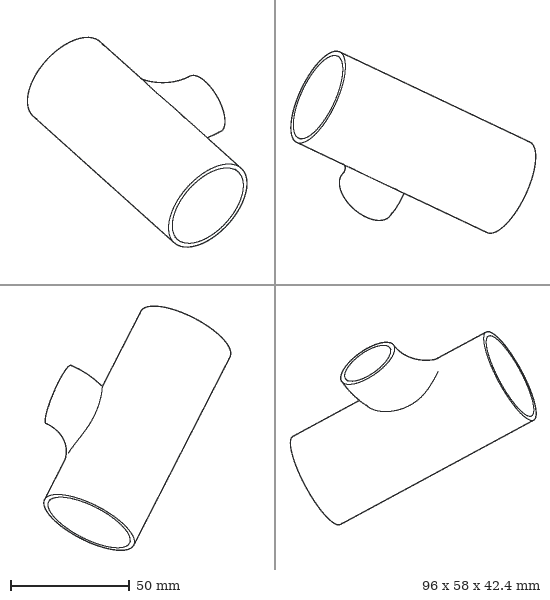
import cadquery as cq

pipe_length = 96.0
pipe_diameter = 42.4
bore_diameter = 38.4
wall = (pipe_diameter - bore_diameter) / 2

branch_diameter = 26.9
branch_bore_diameter = branch_diameter - 2 * wall
outlet_x = 0.0
outlet_y = 36.8
bend_angle = 90.0

bend_radius = outlet_y - pipe_diameter / 2 + branch_diameter / 2


def pipe_cylinder(diameter):
    """Solid cylinder along the full length of the main pipe."""
    return cq.Workplane("YZ").circle(diameter / 2).extrude(pipe_length / 2, both=True)


def elbow(diameter):
    """Solid bend from the outlet, curving towards -X into the main pipe."""
    return (
        cq.Workplane("XZ", origin=(outlet_x, outlet_y, 0))
        .circle(diameter / 2)
        .revolve(bend_angle, (-bend_radius, 0), (-bend_radius, -1))
    )


outside = pipe_cylinder(pipe_diameter).union(elbow(branch_diameter))
result = outside.cut(pipe_cylinder(bore_diameter)).cut(elbow(branch_bore_diameter))